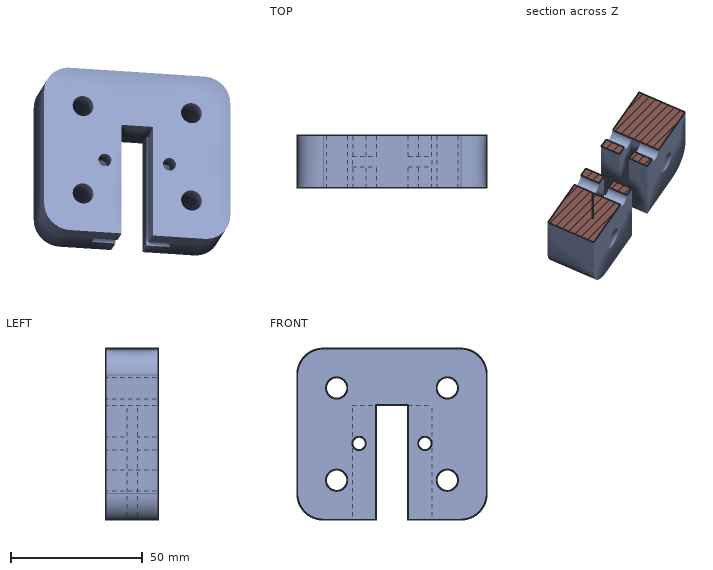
import cadquery as cq

width = 72.0
thickness = 20.0
height = 65.0
corner_radius = 10.0

slot_width = 12.0
slot_depth = 43.5

groove_width = 30.0
groove_thickness = 4.0

large_hole_diameter = 8.0
large_hole_spacing_x = 42.0
large_hole_spacing_z = 35.0

small_hole_diameter = 5.0
small_hole_spacing = 25.0
small_hole_drop = 3.5


def make_plate():
    """Rectangular plate with rounded corners."""
    plate = cq.Workplane("XY").box(width, thickness, height)
    return plate.edges("|Y").fillet(corner_radius)


def make_slot_cutter(cutter_width, cutter_thickness):
    """Block that cuts upward from the bottom edge to the slot depth."""
    center_z = (slot_depth - height) / 2
    cutter = cq.Workplane("XY").box(cutter_width, cutter_thickness, slot_depth)
    return cutter.translate((0, 0, center_z))


def make_hole_cutters(points, diameter):
    """Cylinders through the full thickness at the given (x, z) points."""
    sketch = cq.Workplane("XZ").pushPoints(points).circle(diameter / 2)
    return sketch.extrude(thickness / 2, both=True)


large_hole_points = [
    (side * large_hole_spacing_x / 2, level * large_hole_spacing_z / 2)
    for side in (-1, 1)
    for level in (-1, 1)
]
small_hole_points = [(side * small_hole_spacing / 2, -small_hole_drop) for side in (-1, 1)]

result = (
    make_plate()
    .cut(make_slot_cutter(slot_width, thickness))
    .cut(make_slot_cutter(groove_width, groove_thickness))
    .cut(make_hole_cutters(large_hole_points, large_hole_diameter))
    .cut(make_hole_cutters(small_hole_points, small_hole_diameter))
)